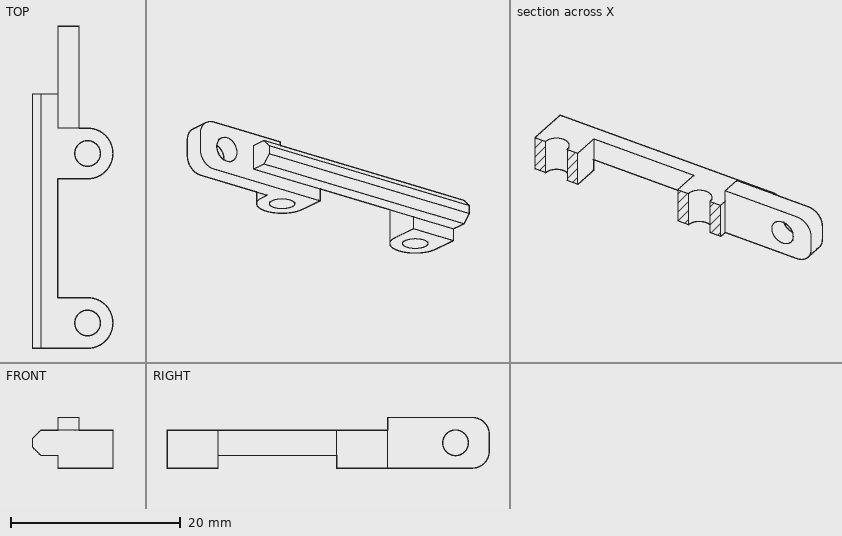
import cadquery as cq

total_length = 38.0
total_width = 9.5
arm_height = 6.0

rail_length = 30.02
rail_width = 3.0
rail_height = 3.0
rail_bevel = 1.0
rail_bottom = (arm_height - rail_height) / 2
rail_top = rail_bottom + rail_height

hole_diameter = 3.0
lug_radius = 3.0
lug_pitch = 20.0
lug_center_x = total_width - lug_radius
lug_centers_y = [lug_radius, lug_radius + lug_pitch]

arm_thickness = 2.5
arm_start = lug_centers_y[1] + lug_radius
arm_corner_radius = 2.0
arm_hole_from_tip = 4.0


def make_rail():
    rail = cq.Workplane("XY").box(rail_width, rail_length, rail_height, centered=False)
    rail = rail.edges("|Y and <X").chamfer(rail_bevel)
    return rail.translate((0, 0, rail_bottom))


def make_lug(center_y):
    straight_length = lug_center_x - rail_width
    lug = (
        cq.Workplane("XY")
        .moveTo(rail_width, center_y - lug_radius)
        .line(straight_length, 0)
        .threePointArc((total_width, center_y), (lug_center_x, center_y + lug_radius))
        .line(-straight_length, 0)
        .close()
        .extrude(rail_top)
    )
    hole = cq.Workplane("XY").center(lug_center_x, center_y).circle(hole_diameter / 2).extrude(rail_top)
    return lug.cut(hole)


def make_arm():
    arm_length = total_length - arm_start
    arm = cq.Workplane("XY").box(arm_thickness, arm_length, arm_height, centered=False)
    arm = arm.edges("|X and >Y").fillet(arm_corner_radius)
    hole = (
        cq.Workplane("YZ")
        .center(arm_length - arm_hole_from_tip, arm_height / 2)
        .circle(hole_diameter / 2)
        .extrude(arm_thickness)
    )
    return arm.cut(hole).translate((rail_width, arm_start, 0))


result = make_rail().union(make_arm())
for lug_center_y in lug_centers_y:
    result = result.union(make_lug(lug_center_y))